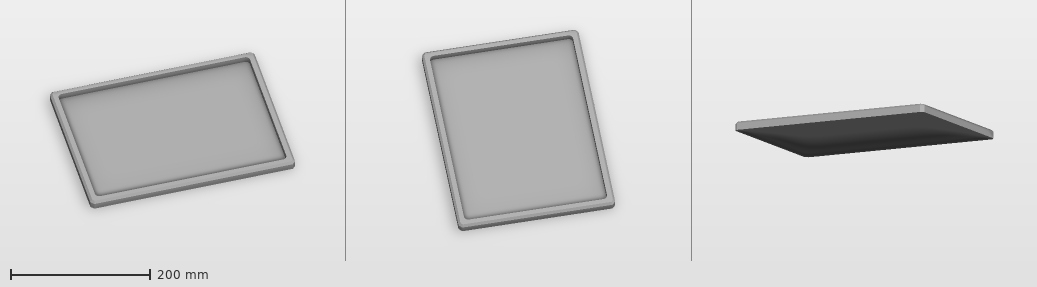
import cadquery as cq

width = 228.6
length = 304.8
height = 12.7

corner_chamfer = 4.7625
rim_chamfer = 3.175

wall = 10.0
floor_thickness = 3.175
recess_radius = 6.35


def tray_body():
    """Flat slab with cut corners and a bevelled top edge, centred on X and Y."""
    slab = cq.Workplane("XY").box(width, length, height, centered=(True, True, False))
    slab = slab.edges("|Z").chamfer(corner_chamfer)
    return slab.faces(">Z").edges().chamfer(rim_chamfer)


def recess():
    """Round-cornered volume above the floor, inside the walls."""
    block = (
        cq.Workplane("XY")
        .workplane(offset=floor_thickness)
        .box(width - 2 * wall, length - 2 * wall, height - floor_thickness, centered=(True, True, False))
    )
    return block.edges("|Z").fillet(recess_radius)


result = tray_body().cut(recess())